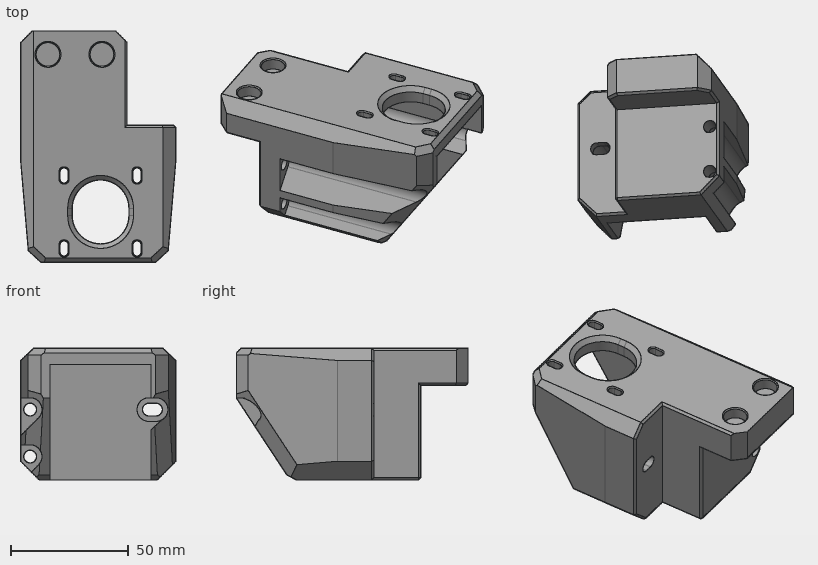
import cadquery as cq
import math

width = 66.0
length = 98.5
height = 56.0
half_width = width / 2
left_side = -half_width

tongue_right = 12.3
right_back = 58.4
leg_back = 78.4
tongue_underside = 40.2
taper_start = 42.9
taper_inset = 3.6

slope_top = 34.8
slope_run = 22.9
corner_bevel = 5.0
top_side_bevel_x = 5.5
top_side_bevel_z = 5.2
top_front_bevel = 2.0
top_corner_bevel_depth = 2.8
top_corner_bevel_z = 3.0
bottom_side_bevel = 8.0
side_bevel_setback = 6.0
toe_bevel_y = 25.5
toe_bevel_run = 4.5
toe_bevel_rise = 2.4
edge_bevel = 1.0

cavity_centre = 1.0
cavity_width = 42.9
cavity_top = 49.1
cavity_back = 47.7
motor_y = 21.5
slot_travel = 3.1
shaft_hole = 24.0
shaft_bevel = 2.0
motor_screw_spacing = 31.0
motor_screw_hole = 3.3
screw_bevel = 0.5

magnet_diameter = 10.0
magnet_depth = 5.3
magnet_bevel = 0.5
rim_angle = 45
magnet_x = (-21.4, 1.6)
magnet_y = 88.5

screw_hole = 5.3
screw_head = 10.0
upper_screw_z = 29.9
lower_screw_z = 9.9
left_screw_x = -29.0
left_seat_y = 68.2
right_screw_x = 23.0
right_seat_y = 53.5
left_channel_end = 45
right_channel_end = 62
left_channel_fall = 45
right_channel_fall = 43

span = 3 * length
clearance = 1.0


def slice_off(body, point, outward):
    """Remove everything beyond the plane through point that faces outward."""
    plane = cq.Plane(origin=point, normal=outward)
    return body.cut(cq.Workplane(plane).rect(span, span).extrude(span))


def near(x, y, z):
    return cq.selectors.NearestToPointSelector((x, y, z))


def stepped_body():
    """L-shaped block with tapered front sides and a tongue overhanging the rear."""
    outline = [
        (left_side + taper_inset, 0),
        (half_width - taper_inset, 0),
        (half_width, taper_start),
        (half_width, right_back),
        (tongue_right, right_back),
        (tongue_right, length),
        (left_side, length),
        (left_side, taper_start),
    ]
    body = cq.Workplane("XY").polyline(outline).close().extrude(height)
    below_tongue = cq.Workplane("XY").box(span, length, tongue_underside, centered=(True, False, False))
    body = body.cut(below_tongue.translate((0, leg_back, 0)))
    for side in (-1, 1):
        front_corner = near(side * (half_width - taper_inset), 0, height / 2)
        body = body.edges(front_corner).chamfer(corner_bevel)
    return body.edges("|Z and >Y").chamfer(corner_bevel)


def tapered_side_normal(side):
    return cq.Vector(side * taper_start, -taper_inset, 0).normalized()


def bevel_slope_side(body, side):
    """Bevel the edge where the front slope meets one tapered side."""
    slope_normal = cq.Vector(0, -slope_top, -slope_run).normalized()
    side_normal = tapered_side_normal(side)
    edge = slope_normal.cross(side_normal).normalized()
    inward = slope_normal.cross(edge) * side_bevel_setback
    corner = cq.Vector(side * (half_width - taper_inset), 0, slope_top)
    return slice_off(body, corner + inward, slope_normal + side_normal)


def bevel_outside(body):
    body = slice_off(body, (0, 0, slope_top), (0, -slope_top, -slope_run))
    body = slice_off(body, (0, toe_bevel_y, 0), (0, -toe_bevel_rise, -toe_bevel_run))
    body = slice_off(body, (0, top_front_bevel, height), (0, -1, 1))

    for side in (-1, 1):
        top_edge = (side * (half_width - top_side_bevel_x), 0, height)
        body = slice_off(body, top_edge, (side * top_side_bevel_z, 0, top_side_bevel_x))
        bottom_edge = (side * (half_width - bottom_side_bevel), 0, 0)
        body = slice_off(body, bottom_edge, (side, 0, -1))

        corner_x = half_width - taper_inset - corner_bevel
        corner_top = (side * corner_x, 0, height - top_corner_bevel_z)
        corner_normal = (tapered_side_normal(side) + cq.Vector(0, -1, 0)).normalized()
        upward = cq.Vector(0, 0, top_corner_bevel_depth)
        body = slice_off(body, corner_top, corner_normal * top_corner_bevel_z + upward)

        body = bevel_slope_side(body, side)
    return body


def bevel_rear_edges(body):
    """Small bevel around the four faces of the rear step, except its inside corners."""
    step_faces = [
        near(0, leg_back, tongue_underside / 2),
        near(0, (leg_back + length) / 2, tongue_underside),
        near((tongue_right + half_width) / 2, right_back, height / 2),
        near(tongue_right, (right_back + length) / 2, height / 2),
    ]
    edges = cq.Workplane()
    for face in step_faces:
        edges = edges.add(body.faces(face).edges())
    kept_sharp = [
        body.edges(near(0, leg_back, tongue_underside)).val(),
        body.edges(near(tongue_right, right_back, height / 2)).val(),
        body.edges(near(tongue_right, length - corner_bevel, (tongue_underside + height) / 2)).val(),
    ]
    chosen = []
    for edge in edges.vals():
        if not any(edge.isSame(other) for other in kept_sharp + chosen):
            chosen.append(edge)
    return body.newObject(chosen).chamfer(edge_bevel)


def cut_cavity(body):
    cavity = cq.Workplane("XY").box(cavity_width, span, cavity_top, centered=(True, False, False))
    return body.cut(cavity.translate((cavity_centre, cavity_back - span, 0)))


def countersunk_slot(x, y, diameter, bevel):
    """Slot through the roof, lengthened along Y for adjustment, with a bevelled rim."""
    top = cq.Workplane("XY", origin=(x, y, height))
    rim_diameter = diameter + 2 * bevel
    slot = top.slot2D(diameter + slot_travel, diameter, 90).extrude(cavity_top - height)
    rim = top.slot2D(rim_diameter + slot_travel, rim_diameter, 90).extrude(-bevel, taper=rim_angle)
    return slot.union(rim)


def cut_motor_openings(body):
    body = body.cut(countersunk_slot(cavity_centre, motor_y, shaft_hole, shaft_bevel))
    offset = motor_screw_spacing / 2
    for dx in (-offset, offset):
        for dy in (-offset, offset):
            x = cavity_centre + dx
            y = motor_y + dy
            body = body.cut(countersunk_slot(x, y, motor_screw_hole, screw_bevel))
    return body


def cut_magnet_pockets(body):
    for x in magnet_x:
        top = cq.Workplane("XY", origin=(x, magnet_y, height))
        pocket = top.circle(magnet_diameter / 2).extrude(-magnet_depth)
        rim = top.circle(magnet_diameter / 2 + magnet_bevel).extrude(-magnet_bevel, taper=rim_angle)
        body = body.cut(pocket).cut(rim)
    return body


def screw_channel(x, z, open_x, seat_y, end_angle, fall_angle):
    """Screw head channel from the front to seat_y, round on its right and open on its left."""
    radius = screw_head / 2
    end_x = x + radius * math.cos(math.radians(end_angle))
    end_z = z - radius * math.sin(math.radians(end_angle))
    fall = (end_x - open_x) * math.tan(math.radians(fall_angle))
    return (
        cq.Workplane("XZ", origin=(0, seat_y, 0))
        .moveTo(open_x, z + radius)
        .lineTo(x, z + radius)
        .threePointArc((x + radius, z), (end_x, end_z))
        .lineTo(open_x, end_z - fall)
        .close()
        .extrude(span)
    )


def cut_left_screws(body):
    for z in (upper_screw_z, lower_screw_z):
        channel = screw_channel(
            left_screw_x, z, left_side - clearance, left_seat_y, left_channel_end, left_channel_fall
        )
        hole = cq.Workplane("XZ", origin=(left_screw_x, length, z)).circle(screw_hole / 2).extrude(length)
        body = body.cut(channel).cut(hole)
    return body


def cut_right_screw(body):
    round_x = right_screw_x + slot_travel / 2
    channel = screw_channel(
        round_x, upper_screw_z, cavity_centre, cavity_back, right_channel_end, right_channel_fall
    )
    seat = cq.Workplane("XZ", origin=(right_screw_x, right_seat_y, upper_screw_z))
    head = seat.slot2D(screw_head + slot_travel, screw_head).extrude(right_seat_y)
    rear = cq.Workplane("XZ", origin=(right_screw_x, right_back, upper_screw_z))
    shank = rear.slot2D(screw_hole + slot_travel, screw_hole).extrude(right_back)
    return body.cut(channel).cut(head).cut(shank)


result = bevel_outside(stepped_body())
result = bevel_rear_edges(result)
result = cut_cavity(result)
result = cut_motor_openings(result)
result = cut_magnet_pockets(result)
result = cut_left_screws(result)
result = cut_right_screw(result).solids()